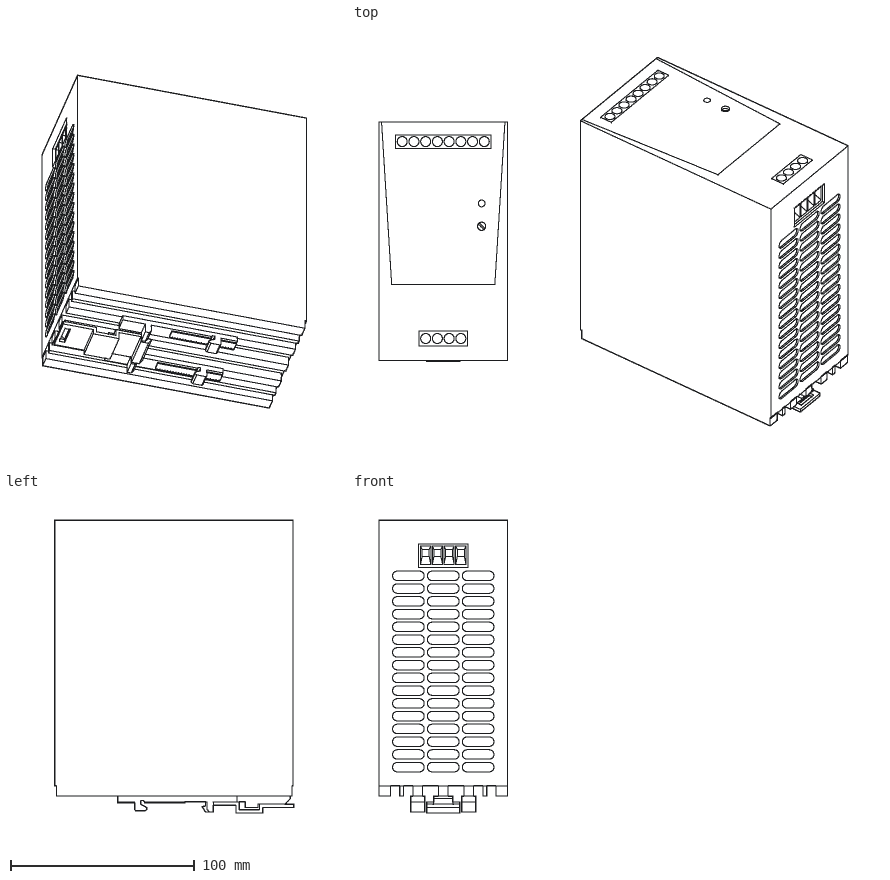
import cadquery as cq

WIDTH = 70.0
DEPTH = 129.8
TOP_Z = 159.5
BASE_Z = 14.8
FRONT_Y = -DEPTH / 2
BACK_Y = DEPTH / 2

FIN_BOTTOM_Z = 9.3
FIN_FRONT_INSET = 0.5
FIN_BACK_INSET = 1.0
EDGE_FIN_WIDTH = 6.4
THIN_FIN_WIDTH = 2.2
THIN_FIN_X = 22.6
WIDE_FIN_WIDTH = 5.5

RAIL_X = 13.9
RAIL_WIDTH = 7.7
RAIL_BACK_Y = 30.6
RAIL_FRONT_Y = -34.3
RAIL_BOTTOM_Z = 6.2
CENTRE_RAIL_WIDTH = 10.5
CENTRE_RAIL_FRONT_Y = -63.5
CENTRE_RAIL_BACK_Y = -17.2
PAD_WIDTH = 4.8
PAD_FRONT_Y = -6.0
PAD_BOTTOM_Z = 5.6
HOOK_BACK_Y = 21.4
HOOK_NOTCH_FRONT_Y = 16.0
POST_FRONT_Y = -21.5
POST_BOTTOM_Z = 0.6

OVERALL_DEPTH = 130.3
LATCH_WIDTH = 18.0
LATCH_THICKNESS = 1.9
LATCH_TIP_Y = BACK_Y - OVERALL_DEPTH
LATCH_LIP_TOP_Z = 5.0
LATCH_STEP_BACK_Y = -33.8
LATCH_STEP_FRONT_Y = -48.5
LIP_SLOT_WIDTH = 11.2
LIP_SLOT_FRONT_Y = -63.5
LIP_SLOT_BACK_Y = -60.5

VENT_COLUMNS = 3
VENT_ROWS = 16
VENT_LENGTH = 17.2
VENT_HEIGHT = 5.1
VENT_PITCH_X = 19.0
VENT_TOP_ROW_Z = 129.2
VENT_BOTTOM_ROW_Z = 25.0
VENT_PITCH_Z = (VENT_TOP_ROW_Z - VENT_BOTTOM_ROW_Z) / (VENT_ROWS - 1)
VENT_DEPTH = 1.0

WAY_PITCH = 6.4
BLOCK_END_MARGIN = 0.5
BLOCK_BOTTOM_Z = 133.7
SCREW_HOLE_DIAMETER = 5.5
SCREW_HOLE_DEPTH = 9.5
FRONT_WAYS = 4
FRONT_BLOCK_Y = -53.0
FRONT_BLOCK_DEPTH = 8.0
REAR_WAYS = 8
REAR_BLOCK_Y = 54.2
REAR_BLOCK_DEPTH = 7.3

ENTRY_TOP_Z = 146.6
ENTRY_WIDTH = 27.1
ENTRY_RECESS = 1.5
FUNNEL_WIDTH = 5.6
FUNNEL_BOTTOM_Z = 135.4
FUNNEL_TOP_Z = 145.3
THROAT_WIDTH = 3.8
THROAT_BOTTOM_Z = 139.7
THROAT_TOP_Z = 143.5
FUNNEL_DEPTH = 7.0

PLATE_THICKNESS = 1.6
PLATE_BACK_WIDTH = 67.1
PLATE_FRONT_WIDTH = 56.1
PLATE_FRONT_Y = -23.6
CONTROL_X = 20.9
LED_Y = 20.5
LED_DIAMETER = 3.7
LED_LENGTH = 3.2
ADJUSTER_Y = 8.1
ADJUSTER_DIAMETER = 4.5
ADJUSTER_RECESS = 1.6
ADJUSTER_LENGTH = 3.2
DRIVER_SLOT_WIDTH = 0.8
DRIVER_SLOT_DEPTH = 0.8
DRIVER_SLOT_ANGLE = -45


def box(x_mid, width, y_min, y_max, z_min, z_max):
    """Axis-aligned block given by its X centre and width and its Y and Z limits."""
    corner = (x_mid - width / 2, y_min, z_min)
    return cq.Workplane().box(width, y_max - y_min, z_max - z_min, centered=False).translate(corner)


def side_profile(points, x_mid, width):
    """Outline of (Y, Z) points extruded along X, centred on x_mid."""
    return cq.Workplane("YZ", origin=(x_mid - width / 2, 0, 0)).polyline(points).close().extrude(width)


def upright_cylinder(x, y, diameter, top_z, length):
    """Vertical cylinder hanging down from top_z."""
    return cq.Workplane(origin=(x, y, top_z)).circle(diameter / 2).extrude(-length)


def row_positions(count, pitch):
    """Positions evenly spaced about zero."""
    return [(i - (count - 1) / 2) * pitch for i in range(count)]


def fins():
    edge_x = (WIDTH - EDGE_FIN_WIDTH) / 2
    spots = [(0, WIDE_FIN_WIDTH)]
    for side in (-1, 1):
        spots.append((side * RAIL_X, WIDE_FIN_WIDTH))
        spots.append((side * THIN_FIN_X, THIN_FIN_WIDTH))
        spots.append((side * edge_x, EDGE_FIN_WIDTH))
    y_min = FRONT_Y + FIN_FRONT_INSET
    y_max = BACK_Y - FIN_BACK_INSET
    return [box(x, width, y_min, y_max, FIN_BOTTOM_Z, BASE_Z) for x, width in spots]


def side_rail(x_mid):
    """Rail with an undercut hook near its back end, a stop post in front of it and low pads underneath."""
    points = [
        (RAIL_BACK_Y, FIN_BOTTOM_Z),
        (RAIL_BACK_Y, RAIL_BOTTOM_Z),
        (HOOK_BACK_Y, RAIL_BOTTOM_Z),
        (HOOK_BACK_Y, 1.9),
        (20.7, 1.3),
        (15.6, 1.3),
        (14.7, 2.0),
        (14.7, 3.0),
        (15.6, 3.7),
        (17.9, 4.8),
        (17.9, 6.9),
        (16.6, 6.9),
        (HOOK_NOTCH_FRONT_Y, RAIL_BOTTOM_Z),
        (-18.0, RAIL_BOTTOM_Z),
        (-18.0, 2.2),
        (-19.3, POST_BOTTOM_Z),
        (POST_FRONT_Y, POST_BOTTOM_Z),
        (POST_FRONT_Y, RAIL_BOTTOM_Z),
        (RAIL_FRONT_Y, RAIL_BOTTOM_Z),
        (RAIL_FRONT_Y, FIN_BOTTOM_Z),
    ]
    rail = side_profile(points, x_mid, RAIL_WIDTH)
    for y_min, y_max in [(HOOK_BACK_Y, RAIL_BACK_Y), (PAD_FRONT_Y, HOOK_NOTCH_FRONT_Y)]:
        rail = rail.union(box(x_mid, PAD_WIDTH, y_min, y_max, PAD_BOTTOM_Z, RAIL_BOTTOM_Z))
    return rail


def centre_rail():
    """Rail with a stop for the latch and a bevelled front end."""
    points = [
        (CENTRE_RAIL_BACK_Y, FIN_BOTTOM_Z),
        (CENTRE_RAIL_BACK_Y, RAIL_BOTTOM_Z),
        (-38.8, RAIL_BOTTOM_Z),
        (-38.8, 3.0),
        (-46.0, 3.0),
        (-46.0, LATCH_LIP_TOP_Z),
        (-60.6, LATCH_LIP_TOP_Z),
        (CENTRE_RAIL_FRONT_Y, 8.0),
        (CENTRE_RAIL_FRONT_Y, FIN_BOTTOM_Z),
    ]
    return side_profile(points, 0, CENTRE_RAIL_WIDTH)


def vent_slots():
    columns = row_positions(VENT_COLUMNS, VENT_PITCH_X)
    rows = [VENT_TOP_ROW_Z - i * VENT_PITCH_Z for i in range(VENT_ROWS)]
    centres = [(x, z) for x in columns for z in rows]
    front_wall = cq.Workplane("XZ", origin=(0, FRONT_Y, 0))
    return front_wall.pushPoints(centres).slot2D(VENT_LENGTH, VENT_HEIGHT).extrude(-VENT_DEPTH)


def block_tower(ways, y_mid, depth):
    length = ways * WAY_PITCH + 2 * BLOCK_END_MARGIN
    return box(0, length, y_mid - depth / 2, y_mid + depth / 2, BLOCK_BOTTOM_Z, TOP_Z)


def screw_holes(ways, y_mid):
    spots = [(x, y_mid) for x in row_positions(ways, WAY_PITCH)]
    top = cq.Workplane(origin=(0, 0, TOP_Z)).pushPoints(spots)
    return top.circle(SCREW_HOLE_DIAMETER / 2).extrude(-SCREW_HOLE_DEPTH)


def entry_block(front_y):
    """Lower part of the front terminal block, reaching forward to front_y."""
    return box(0, ENTRY_WIDTH, front_y, FRONT_BLOCK_Y, BLOCK_BOTTOM_Z, ENTRY_TOP_Z)


def wire_funnel(x):
    """Rectangular wire entry that narrows from the block face to a smaller throat."""
    funnel_mid_z = (FUNNEL_BOTTOM_Z + FUNNEL_TOP_Z) / 2
    throat_mid_z = (THROAT_BOTTOM_Z + THROAT_TOP_Z) / 2
    mouth = cq.Workplane("XZ", origin=(x, FRONT_Y + ENTRY_RECESS, funnel_mid_z))
    return (
        mouth.rect(FUNNEL_WIDTH, FUNNEL_TOP_Z - FUNNEL_BOTTOM_Z)
        .workplane(offset=-FUNNEL_DEPTH)
        .center(0, throat_mid_z - funnel_mid_z)
        .rect(THROAT_WIDTH, THROAT_TOP_Z - THROAT_BOTTOM_Z)
        .loft(ruled=True)
    )


def make_front_terminal():
    block = block_tower(FRONT_WAYS, FRONT_BLOCK_Y, FRONT_BLOCK_DEPTH)
    block = block.union(entry_block(FRONT_Y + ENTRY_RECESS))
    block = block.cut(screw_holes(FRONT_WAYS, FRONT_BLOCK_Y))
    for x in row_positions(FRONT_WAYS, WAY_PITCH):
        block = block.cut(wire_funnel(x))
    return block


def make_rear_terminal():
    return block_tower(REAR_WAYS, REAR_BLOCK_Y, REAR_BLOCK_DEPTH).cut(screw_holes(REAR_WAYS, REAR_BLOCK_Y))


def plate_blank():
    points = [
        (-PLATE_BACK_WIDTH / 2, BACK_Y),
        (PLATE_BACK_WIDTH / 2, BACK_Y),
        (PLATE_FRONT_WIDTH / 2, PLATE_FRONT_Y),
        (-PLATE_FRONT_WIDTH / 2, PLATE_FRONT_Y),
    ]
    return cq.Workplane(origin=(0, 0, TOP_Z)).polyline(points).close().extrude(-PLATE_THICKNESS)


def led_body():
    return upright_cylinder(CONTROL_X, LED_Y, LED_DIAMETER, TOP_Z, LED_LENGTH)


def adjuster_hole():
    depth = ADJUSTER_RECESS + ADJUSTER_LENGTH
    return upright_cylinder(CONTROL_X, ADJUSTER_Y, ADJUSTER_DIAMETER, TOP_Z, depth)


def make_adjuster():
    head_z = TOP_Z - ADJUSTER_RECESS
    screw = upright_cylinder(CONTROL_X, ADJUSTER_Y, ADJUSTER_DIAMETER, head_z, ADJUSTER_LENGTH)
    driver_slot = (
        cq.Workplane(origin=(CONTROL_X, ADJUSTER_Y, head_z))
        .transformed(rotate=(0, 0, DRIVER_SLOT_ANGLE))
        .rect(2 * ADJUSTER_DIAMETER, DRIVER_SLOT_WIDTH)
        .extrude(-DRIVER_SLOT_DEPTH)
    )
    return screw.cut(driver_slot)


def make_cover_plate():
    rear_block = block_tower(REAR_WAYS, REAR_BLOCK_Y, REAR_BLOCK_DEPTH)
    return plate_blank().cut(rear_block).cut(led_body()).cut(adjuster_hole())


def make_latch():
    """Strip with a nose at the back, a U-shaped dip round the rail stop and a slotted lip in front."""
    arm_bottom_z = RAIL_BOTTOM_Z - LATCH_THICKNESS
    points = [
        (CENTRE_RAIL_BACK_Y, RAIL_BOTTOM_Z),
        (CENTRE_RAIL_BACK_Y, 4.0),
        (-15.3, 3.7),
        (CENTRE_RAIL_BACK_Y, POST_BOTTOM_Z),
        (POST_FRONT_Y, POST_BOTTOM_Z),
        (POST_FRONT_Y, arm_bottom_z),
        (LATCH_STEP_BACK_Y, arm_bottom_z),
        (LATCH_STEP_BACK_Y, 0),
        (LATCH_STEP_FRONT_Y, 0),
        (LATCH_STEP_FRONT_Y, LATCH_LIP_TOP_Z - LATCH_THICKNESS),
        (LATCH_TIP_Y, LATCH_LIP_TOP_Z - LATCH_THICKNESS),
        (LATCH_TIP_Y, LATCH_LIP_TOP_Z),
        (LATCH_STEP_FRONT_Y + LATCH_THICKNESS, LATCH_LIP_TOP_Z),
        (LATCH_STEP_FRONT_Y + LATCH_THICKNESS, LATCH_THICKNESS),
        (LATCH_STEP_BACK_Y - LATCH_THICKNESS, LATCH_THICKNESS),
        (LATCH_STEP_BACK_Y - LATCH_THICKNESS, RAIL_BOTTOM_Z),
    ]
    strip = side_profile(points, 0, LATCH_WIDTH)
    lip_slot = box(0, LIP_SLOT_WIDTH, LIP_SLOT_FRONT_Y, LIP_SLOT_BACK_Y, 0, LATCH_LIP_TOP_Z)
    return strip.cut(lip_slot)


def make_housing():
    """Case with fins and rails below, and with recesses that match the bodies set into it."""
    housing = box(0, WIDTH, FRONT_Y, BACK_Y, BASE_Z, TOP_Z)
    for fin in fins():
        housing = housing.union(fin)
    for x in (-RAIL_X, RAIL_X):
        housing = housing.union(side_rail(x))
    housing = housing.union(centre_rail())
    recesses = [
        vent_slots(),
        block_tower(FRONT_WAYS, FRONT_BLOCK_Y, FRONT_BLOCK_DEPTH),
        entry_block(FRONT_Y),
        block_tower(REAR_WAYS, REAR_BLOCK_Y, REAR_BLOCK_DEPTH),
        plate_blank(),
        led_body(),
        adjuster_hole(),
    ]
    for recess in recesses:
        housing = housing.cut(recess)
    return housing


housing = make_housing()
cover_plate = make_cover_plate()
front_terminal = make_front_terminal()
rear_terminal = make_rear_terminal()
led = led_body()
adjuster = make_adjuster()
latch = make_latch()

result = cq.Compound.makeCompound(
    [
        housing.val(),
        cover_plate.val(),
        front_terminal.val(),
        rear_terminal.val(),
        led.val(),
        adjuster.val(),
        latch.val(),
    ]
)